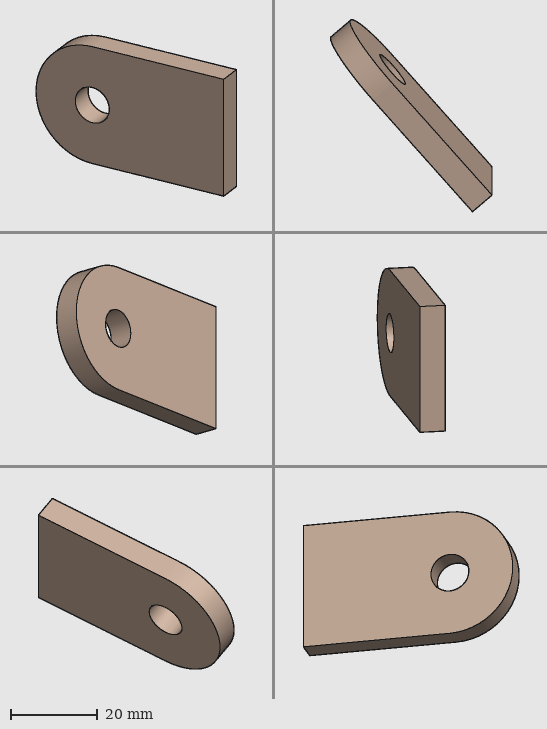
import cadquery as cq

length = 50.0
thickness = 6.0
height = 30.0
hole_diameter = 9.0

end_radius = height / 2
square_end_x = length - end_radius
front_face_y = -thickness / 2
back_face_y = thickness / 2


def lug_plate():
    """Plate with a half-round end at -X and a square end at +X."""
    return (
        cq.Workplane("XZ", origin=(0, back_face_y, 0))
        .moveTo(0, end_radius)
        .lineTo(square_end_x, end_radius)
        .lineTo(square_end_x, -end_radius)
        .lineTo(0, -end_radius)
        .threePointArc((-end_radius, 0), (0, end_radius))
        .close()
        .extrude(thickness)
    )


def cut_pin_hole(plate):
    """Drill the hole through the full thickness, on the axis of the rounded end."""
    front_face = cq.Workplane("XZ", origin=(0, front_face_y, 0))
    drill = front_face.circle(hole_diameter / 2).extrude(-thickness)
    return plate.cut(drill)


result = cut_pin_hole(lug_plate())